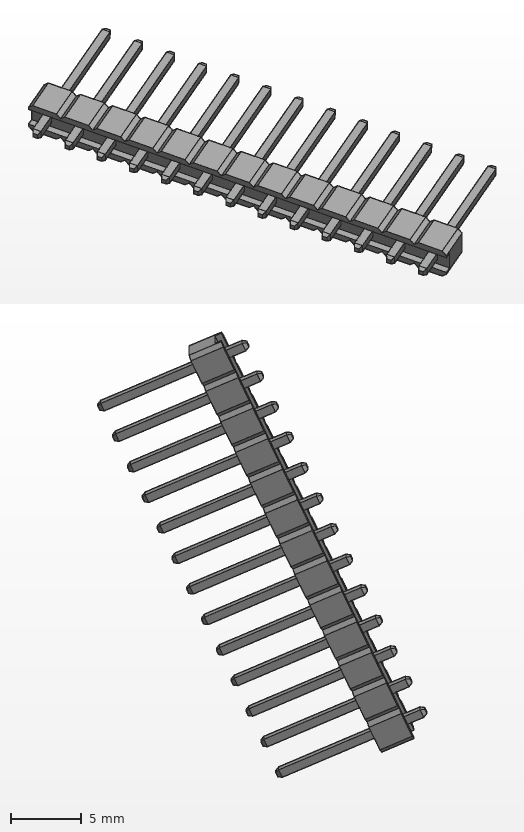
import cadquery as cq


pin_count = 13
row_length = 33.02
pitch = row_length / pin_count

housing_height = 2.55
housing_depth = 2.5
corner_chamfer = 0.33
slot_height = 1.5
slot_depth = 0.5

total_depth = 11.6
pin_width = 0.63
front_protrusion = 1.5
tip_length = 0.3
tip_width = 0.35

pin_front = -front_protrusion
pin_back = pin_front + total_depth


def pin_center(index):
    """X position of a pin, with the row centred on X = 0."""
    return (index - (pin_count - 1) / 2) * pitch


def make_segment(x):
    """One housing block with its four long edges chamfered."""
    block = cq.Workplane("XY").box(pitch, housing_depth, housing_height)
    block = block.edges("|Y").chamfer(corner_chamfer)
    return block.translate((x, housing_depth / 2, 0))


def make_tip(x, y_base, direction):
    """Tapered pin end starting at y_base and pointing along +Y or -Y."""
    base = cq.Plane(origin=(x, y_base, 0), xDir=(1, 0, 0), normal=(0, direction, 0))
    return (
        cq.Workplane(base)
        .rect(pin_width, pin_width)
        .workplane(offset=tip_length)
        .rect(tip_width, tip_width)
        .loft(ruled=True)
    )


def make_pin(x):
    """Square pin through the housing, tapered at both ends."""
    shank_front = pin_front + tip_length
    shank_back = pin_back - tip_length
    shank = (
        cq.Workplane("XY")
        .box(pin_width, shank_back - shank_front, pin_width)
        .translate((x, (shank_front + shank_back) / 2, 0))
    )
    return shank.union(make_tip(x, shank_front, -1)).union(make_tip(x, shank_back, 1))


def make_housing():
    """Row of chamfered blocks with a slot along the whole front face."""
    housing = make_segment(pin_center(0))
    for index in range(1, pin_count):
        housing = housing.union(make_segment(pin_center(index)))
    slot = (
        cq.Workplane("XY")
        .box(row_length, slot_depth, slot_height)
        .translate((0, slot_depth / 2, 0))
    )
    return housing.cut(slot).clean()


result = make_housing()
for pin_index in range(pin_count):
    result = result.union(make_pin(pin_center(pin_index)))